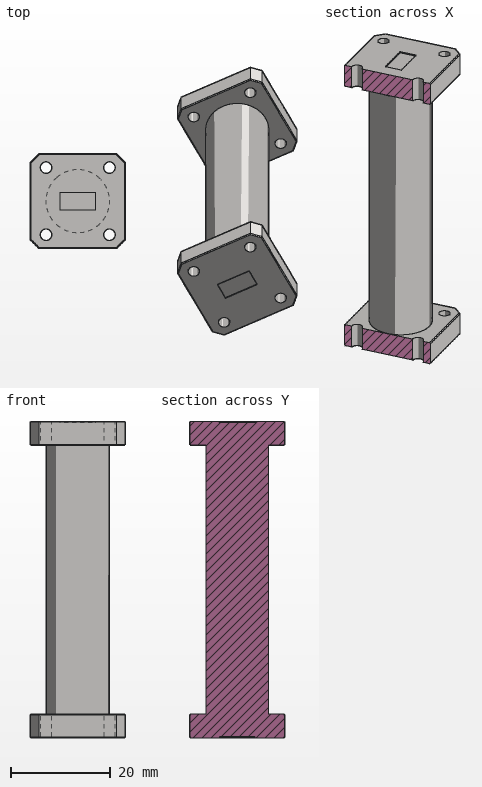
import cadquery as cq

total_length = 63.5
body_diameter = 12.7

flange_width = 19.05
flange_thickness = 4.83
corner_chamfer = 1.75
edge_chamfer = 0.2

hole_diameter = 2.26
hole_pitch_x = 12.7
hole_pitch_y = 13.46

window_width = 7.112
window_height = 3.556
window_depth = 0.25


def make_flange():
    """Flange standing on Z = 0, with its outer face upward."""
    flange = cq.Workplane("XY").rect(flange_width, flange_width).extrude(flange_thickness)
    flange = flange.edges("|Z").chamfer(corner_chamfer)
    flange = flange.faces("<Z or >Z").edges().chamfer(edge_chamfer)
    holes = (
        cq.Workplane("XY")
        .rect(hole_pitch_x, hole_pitch_y, forConstruction=True)
        .vertices()
        .circle(hole_diameter / 2)
        .extrude(flange_thickness)
    )
    window = (
        cq.Workplane("XY")
        .workplane(offset=flange_thickness - window_depth)
        .rect(window_width, window_height)
        .extrude(window_depth)
    )
    return flange.cut(holes).cut(window)


def make_body():
    """Round body spanning the gap between the inner faces of the flanges."""
    body_length = total_length - 2 * flange_thickness
    return cq.Workplane("XY").circle(body_diameter / 2).extrude(body_length / 2, both=True)


top_flange = make_flange().translate((0, 0, total_length / 2 - flange_thickness))
bottom_flange = top_flange.mirror("XY")

result = make_body().union(top_flange).union(bottom_flange)